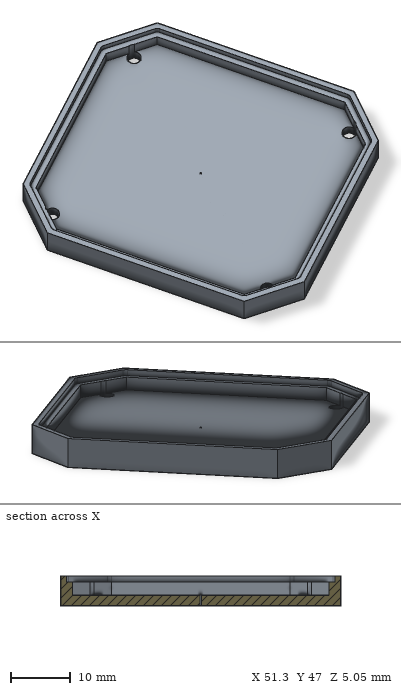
import cadquery as cq

length = 51.3
width = 47.0
height = 5.05
corner_cut = 7.7

wall_to_pocket = 2.0
ledge_width = wall_to_pocket / 2
ledge_depth = 1.05
pocket_depth = 3.25

mount_diameter = 2.35
mount_spacing_x = 39.25
mount_spacing_y = 34.95
center_diameter = 0.2


def octagon():
    """Rectangle with its four corners cut at 45 degrees, on the bottom plane."""
    x = length / 2
    y = width / 2
    return cq.Workplane("XY").polyline([
        (x, y - corner_cut),
        (x - corner_cut, y),
        (corner_cut - x, y),
        (-x, y - corner_cut),
        (-x, corner_cut - y),
        (corner_cut - x, -y),
        (x - corner_cut, -y),
        (x, corner_cut - y),
    ]).close()


def recess(outline, depth):
    """Cutter that sinks an outline into the top face."""
    return outline.extrude(depth).translate((0, 0, height - depth))


body = octagon().extrude(height)

pocket_outline = octagon().offset2D(-wall_to_pocket, "intersection")
ledge_outline = octagon().offset2D(-wall_to_pocket, "intersection").offset2D(ledge_width, "arc")
body = body.cut(recess(pocket_outline, pocket_depth))
body = body.cut(recess(ledge_outline, ledge_depth))

mount_holes = (
    cq.Workplane("XY")
    .rect(mount_spacing_x, mount_spacing_y, forConstruction=True)
    .vertices()
    .circle(mount_diameter / 2)
    .extrude(height)
)
center_hole = cq.Workplane("XY").circle(center_diameter / 2).extrude(height)

result = body.cut(mount_holes).cut(center_hole)